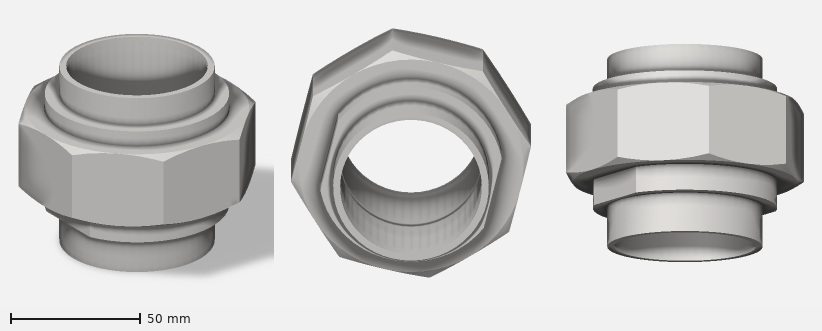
import cadquery as cq
import math

total_height = 74.0
nut_bottom = 25.4
nut_height = 30.8
nut_top = nut_bottom + nut_height
joint_height = 36.5

pipe_diameter = 60.3
bore_diameter = 54.9
mouth_depth = 4.0
mouth_angle = math.radians(10)

nut_across_flats = 87.0
nut_sides = 8
nut_bore_diameter = 72.0
chamfer_angle = math.radians(30)

collar_diameter = 71.5
lower_collar_bottom = 15.2
lower_collar_across_flats = 65.2
upper_collar_top = 62.4


def cylinder(diameter, bottom, top):
    return cq.Workplane("XY").workplane(offset=bottom).circle(diameter / 2).extrude(top - bottom)


def make_nut():
    """Octagonal nut, both ends turned down to a circle touching the flats."""
    flat_radius = nut_across_flats / 2
    corner_radius = flat_radius / math.cos(math.pi / nut_sides)
    chamfer_drop = (corner_radius - flat_radius) * math.tan(chamfer_angle)
    octagon = (
        cq.Workplane("XY", origin=(0, 0, nut_bottom))
        .transformed(rotate=(0, 0, 180 / nut_sides))
        .polygon(nut_sides, 2 * corner_radius)
        .extrude(nut_height)
    )
    turned_blank = (
        cq.Workplane("XZ")
        .moveTo(0, nut_bottom)
        .lineTo(flat_radius, nut_bottom)
        .lineTo(corner_radius, nut_bottom + chamfer_drop)
        .lineTo(corner_radius, nut_top - chamfer_drop)
        .lineTo(flat_radius, nut_top)
        .lineTo(0, nut_top)
        .close()
        .revolve()
    )
    return octagon.intersect(turned_blank).cut(cylinder(nut_bore_diameter, nut_bottom, nut_top))


def make_lower_tailpiece():
    """Pipe end with a two-flat wrench collar and a plug that fills the nut bore."""
    pipe = cylinder(pipe_diameter, 0, lower_collar_bottom)
    wrench_flats = cq.Workplane("XY").box(
        nut_bore_diameter, lower_collar_across_flats, total_height, centered=(True, True, False)
    )
    collar = cylinder(collar_diameter, lower_collar_bottom, nut_bottom).intersect(wrench_flats)
    plug = cylinder(nut_bore_diameter, nut_bottom, joint_height)
    bore = cylinder(bore_diameter, 0, joint_height)
    throat_radius = bore_diameter / 2
    mouth_radius = throat_radius + mouth_depth * math.tan(mouth_angle)
    mouth = (
        cq.Workplane("XZ")
        .moveTo(0, joint_height - mouth_depth)
        .lineTo(throat_radius, joint_height - mouth_depth)
        .lineTo(mouth_radius, joint_height)
        .lineTo(0, joint_height)
        .close()
        .revolve()
    )
    return pipe.union(collar).union(plug).cut(bore).cut(mouth)


def make_upper_tailpiece():
    """Pipe end with a round collar that passes through the nut with a small clearance."""
    collar = cylinder(collar_diameter, joint_height, upper_collar_top)
    pipe = cylinder(pipe_diameter, upper_collar_top, total_height)
    bore = cylinder(bore_diameter, joint_height, total_height)
    return collar.union(pipe).cut(bore)


nut = make_nut()
lower_tailpiece = make_lower_tailpiece()
upper_tailpiece = make_upper_tailpiece()

result = cq.Compound.makeCompound([nut.val(), lower_tailpiece.val(), upper_tailpiece.val()])